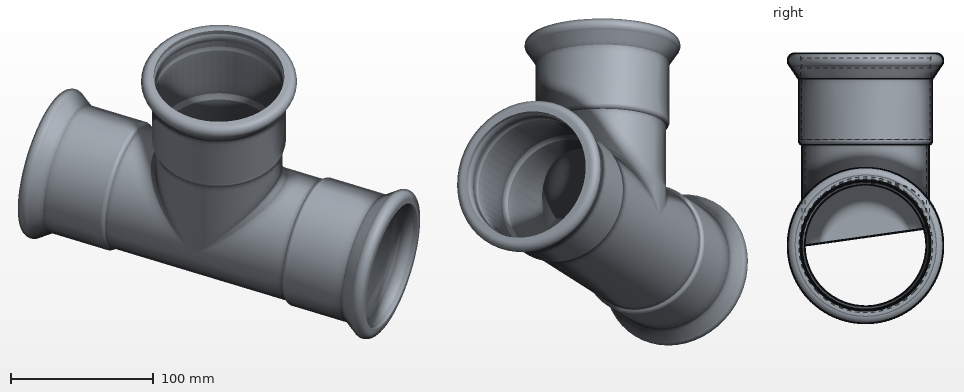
import cadquery as cq
import math

RUN_LENGTH = 263.0
TOTAL_HEIGHT = 189.0
RIM_DIAMETER = 109.1

PIPE_OUTER_DIAMETER = 88.9
PIPE_BORE_DIAMETER = 84.9
SOCKET_OUTER_DIAMETER = 93.6
SOCKET_BORE_DIAMETER = 89.6
MOUTH_DIAMETER = 91.5
END_FACE_DIAMETER = 98.8

BEAD_EDGE_DEPTH = 8.8
CONE_END_DEPTH = 18.0
SOCKET_END_DEPTH = 60.2
NECK_START_DEPTH = 64.1
SEAL_START_DEPTH = 3.2
RUN_SEAL_END_DEPTH = 12.0
BRANCH_SEAL_END_DEPTH = 10.2
MOUTH_END_DEPTH = 15.5
SOCKET_BORE_START_DEPTH = 18.5

CROTCH_CHAMFER_LEG = 3.8

BAFFLE_THICKNESS = 0.5
BAFFLE_TIP_OFFSET = 11.7

RIM_RADIUS = RIM_DIAMETER / 2
PIPE_RADIUS = PIPE_OUTER_DIAMETER / 2
BORE_RADIUS = PIPE_BORE_DIAMETER / 2
SOCKET_RADIUS = SOCKET_OUTER_DIAMETER / 2
SOCKET_BORE_RADIUS = SOCKET_BORE_DIAMETER / 2
MOUTH_RADIUS = MOUTH_DIAMETER / 2
END_FACE_RADIUS = END_FACE_DIAMETER / 2

RUN_ARM = RUN_LENGTH / 2
BRANCH_ARM = TOTAL_HEIGHT - RIM_RADIUS


def revolve_about_z(profile):
    return profile.close().revolve(360, (0, 0, 0), (0, 1, 0))


def arm_body(length):
    """Solid outer shape of one arm standing on +Z: pipe, socket and rolled rim."""
    bead = RIM_RADIUS - END_FACE_RADIUS
    bead_edge_radius = END_FACE_RADIUS + math.sqrt(bead**2 - (BEAD_EDGE_DEPTH - bead) ** 2)
    shoulder = SOCKET_RADIUS - PIPE_RADIUS
    shoulder_depth = NECK_START_DEPTH - SOCKET_END_DEPTH
    shoulder_mid = (
        PIPE_RADIUS + shoulder * math.sqrt(0.5),
        length - NECK_START_DEPTH + shoulder_depth * (1 - math.sqrt(0.5)),
    )
    profile = (
        cq.Workplane("XZ")
        .lineTo(PIPE_RADIUS, 0)
        .lineTo(PIPE_RADIUS, length - NECK_START_DEPTH)
        .threePointArc(shoulder_mid, (SOCKET_RADIUS, length - SOCKET_END_DEPTH))
        .lineTo(SOCKET_RADIUS, length - CONE_END_DEPTH)
        .lineTo(bead_edge_radius, length - BEAD_EDGE_DEPTH)
        .threePointArc((RIM_RADIUS, length - bead), (END_FACE_RADIUS, length))
        .lineTo(0, length)
    )
    return revolve_about_z(profile)


def arm_bore(length, seal_end_depth):
    """Hollow of one arm standing on +Z: mouth, seal ridge, socket and pipe bore."""
    seal_mid_depth = (SEAL_START_DEPTH + seal_end_depth) / 2
    profile = (
        cq.Workplane("XZ")
        .lineTo(BORE_RADIUS, 0)
        .lineTo(BORE_RADIUS, length - NECK_START_DEPTH)
        .lineTo(SOCKET_BORE_RADIUS, length - SOCKET_END_DEPTH)
        .lineTo(SOCKET_BORE_RADIUS, length - SOCKET_BORE_START_DEPTH)
        .lineTo(MOUTH_RADIUS, length - MOUTH_END_DEPTH)
        .lineTo(MOUTH_RADIUS, length - seal_end_depth)
        .threePointArc(
            (SOCKET_BORE_RADIUS, length - seal_mid_depth),
            (MOUTH_RADIUS, length - SEAL_START_DEPTH),
        )
        .lineTo(MOUTH_RADIUS, length)
        .lineTo(0, length)
    )
    return revolve_about_z(profile)


def tee(run_arm, branch_arm):
    """Join two copies of the run arm, turned onto the X axis, with the branch arm along Z."""
    joined = branch_arm
    for angle in (90, -90):
        joined = joined.union(run_arm.rotate((0, 0, 0), (0, 1, 0), angle))
    return joined


def crotch_chamfer(side):
    """Chamfer filling the crotch on one side; it tapers to nothing at the Y extremes of the pipes."""
    crotch_depth = PIPE_RADIUS + CROTCH_CHAMFER_LEG
    prism = (
        cq.Workplane("XZ")
        .lineTo(side * crotch_depth, PIPE_RADIUS)
        .lineTo(side * PIPE_RADIUS, crotch_depth)
        .close()
        .extrude(PIPE_RADIUS, both=True)
    )
    long_radius = (PIPE_RADIUS + crotch_depth) / math.sqrt(2)
    mitre = cq.Plane(origin=(0, 0, 0), xDir=(side, 0, 1), normal=(-side, 0, 1))
    elliptic_rod = (
        cq.Workplane(mitre)
        .workplane(offset=-CROTCH_CHAMFER_LEG)
        .ellipse(long_radius, PIPE_RADIUS)
        .extrude(2 * CROTCH_CHAMFER_LEG)
    )
    return prism.intersect(elliptic_rod)


def baffle(bore):
    """Thin sheet across the junction, from one straight free edge to the left bore wall."""
    near = cq.Vector(0, -BORE_RADIUS, 0)
    tip_y = math.sqrt(BORE_RADIUS**2 - BAFFLE_TIP_OFFSET**2)
    tip = cq.Vector(BAFFLE_TIP_OFFSET, tip_y, BAFFLE_TIP_OFFSET)
    crotch = cq.Vector(-BORE_RADIUS, 0, BORE_RADIUS)
    edge = tip - near
    normal = edge.cross(crotch - near)
    sheet_reach = 2 * PIPE_OUTER_DIAMETER
    sheet = (
        cq.Workplane(cq.Plane(origin=near, xDir=edge, normal=normal))
        .workplane(offset=-BAFFLE_THICKNESS / 2)
        .rect(2 * sheet_reach, sheet_reach, centered=(True, False))
        .extrude(BAFFLE_THICKNESS)
    )
    return sheet.intersect(bore)


body = tee(arm_body(RUN_ARM), arm_body(BRANCH_ARM))
for crotch_side in (-1, 1):
    body = body.union(crotch_chamfer(crotch_side))

hollow = tee(
    arm_bore(RUN_ARM, RUN_SEAL_END_DEPTH),
    arm_bore(BRANCH_ARM, BRANCH_SEAL_END_DEPTH),
)
result = body.cut(hollow).union(baffle(hollow))